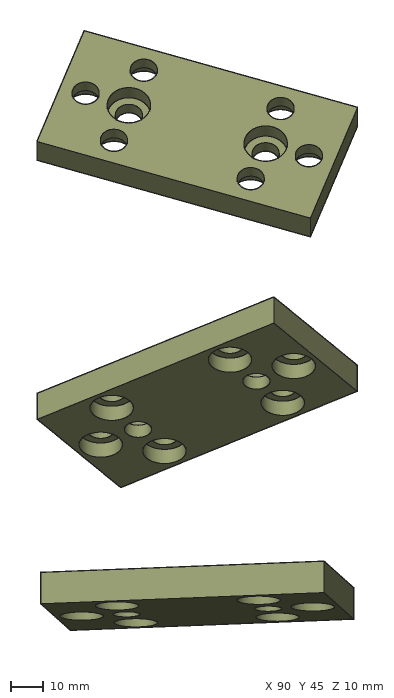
import cadquery as cq

length = 90.0
width = length / 2
thickness = 10.0

group_x = length / 4
hole_offset = 14.2
hole_diameter = 8.5
counterbore_diameter = 13.5
counterbore_depth = 5.4


def cut_counterbored_holes(body, centers, from_above):
    """Cut through holes with their counterbores in the top or bottom face."""
    through_holes = (
        cq.Workplane("XY")
        .workplane(offset=-thickness / 2)
        .pushPoints(centers)
        .circle(hole_diameter / 2)
        .extrude(thickness)
    )
    floor_z = thickness / 2 - counterbore_depth if from_above else -thickness / 2
    counterbores = (
        cq.Workplane("XY")
        .workplane(offset=floor_z)
        .pushPoints(centers)
        .circle(counterbore_diameter / 2)
        .extrude(counterbore_depth)
    )
    return body.cut(through_holes).cut(counterbores)


result = cq.Workplane("XY").box(length, width, thickness)

for side in (-1, 1):
    center_x = side * group_x
    surrounding_centers = [
        (center_x, hole_offset),
        (center_x, -hole_offset),
        (center_x + side * hole_offset, 0),
    ]
    result = cut_counterbored_holes(result, [(center_x, 0)], from_above=True)
    result = cut_counterbored_holes(result, surrounding_centers, from_above=False)